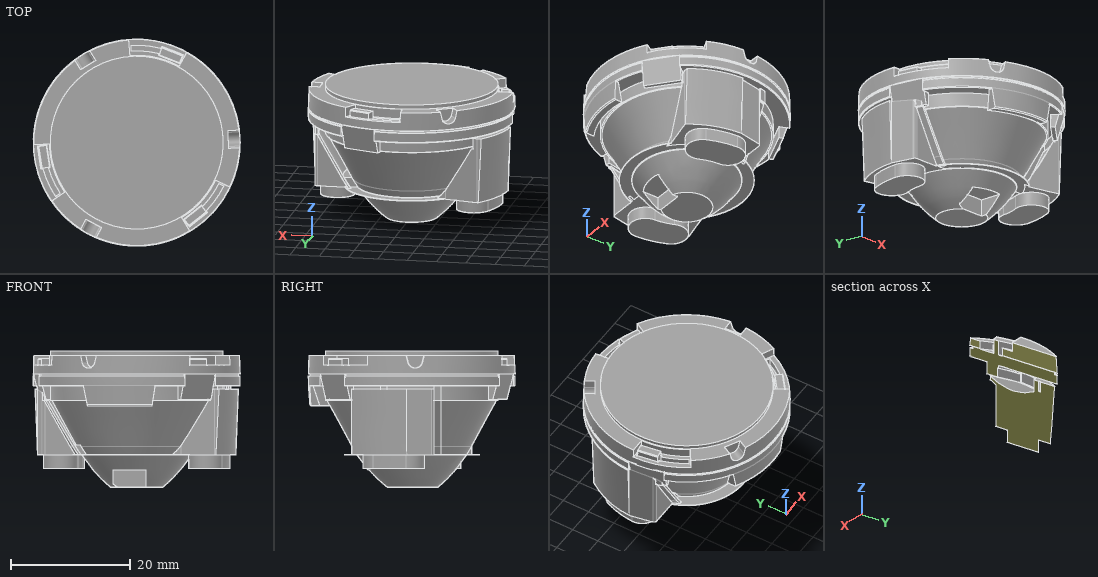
import cadquery as cq
import math

outer_radius = 17.35
total_height = 22.85

disc_top = total_height
cap_top = 22.1
window_floor = 20.48
notch_shoulder = 20.83
notch_floor = 20.0
cap_bottom = 19.0
flange_top = 18.65
flange_bottom = 16.95
leg_top = 16.45
cone_top = 14.58
gap_floor = 7.1
leg_bottom = 5.4
foot_bottom = 3.12

disc_radius = 29.0 / 2
cap_top_radius = 17.25
window_angles = (181.0, 214.5)
window_inner_radius = 14.65
slot_inner_radius = 15.38
slot_outer_radius = 16.3
slot_end_margin = 1.0
notch_angle = 2.0
notch_inner_radius = 15.35
notch_top_half_width = 1.5
notch_shoulder_half_width = 1.18
clip_count = 3

spigot_radius = 17.08
neck_radius = disc_radius
cone_top_radius = 14.23
cone_knee_radius = 10.03
cone_knee_height = 6.85
tip_radius = 4.37
flange_chamfer = 0.15
collar_radius = 11.3
collar_thickness = 0.1

tip_notch_left = -4.0
tip_notch_right = 1.55
tip_notch_back = -3.05
tip_notch_height = 2.88

tab_top = flange_bottom + flange_chamfer
tab_bottom = 13.65
tab_bottom_radius = 17.1
tab_bottom_chamfer = 0.2
tab_bottom_inner_radius = 15.62
tab_top_inner_radius = 16.85
tab_top_ends = (-8.95, 3.1)
tab_bottom_ends = (-8.25, 2.57)

leg_count = 2
leg_top_radius = 17.08
leg_bottom_radius = 16.65
leg_neck_radius = 15.38
leg_long_side = 10.05
leg_inner_side = 8.68
leg_inner_corner = 7.4
leg_outer_corner = 13.05
leg_corner_fillet = 0.52
leg_short_side = -3.7
leg_rib_side = -4.85
leg_web_offset = 1.75
leg_flat_start = 0.9
leg_flat_corner = 15.8
gap_width = 1.32
rib_start = 4.15
rib_end = 5.2
foot_path_radius = 12.77
foot_half_width = 2.9
foot_angles = (155.5, 176.5)

hook_angle = 188.7
hook_flat_distance = 17.05
hook_block_half_width = 3.25
hook_block_inner = 15.1
hook_block_bottom_distance = 15.85
hook_bottom = 14.7
hook_top = 21.6
hook_half_width = 1.85
hook_inner_radius = 15.05
hook_outer_radius = 16.45
hook_lip_chamfer = 0.15
hook_clearance = 0.1

full_turn = 360.0
overshoot = 0.35
cutter_radius = outer_radius + overshoot


def polar(radius, angle):
    a = math.radians(angle)
    return (radius * math.cos(a), radius * math.sin(a))


def cylinder(radius, low, high):
    return cq.Workplane("XY").workplane(offset=low).circle(radius).extrude(high - low)


def annular_sector(inner, outer, angles, low, high):
    """Part of a ring between two angles in degrees."""
    start, end = angles
    middle = (start + end) / 2
    return (
        cq.Workplane("XY").workplane(offset=low)
        .moveTo(*polar(inner, start))
        .lineTo(*polar(outer, start))
        .threePointArc(polar(outer, middle), polar(outer, end))
        .lineTo(*polar(inner, end))
        .threePointArc(polar(inner, middle), polar(inner, start))
        .close()
        .extrude(high - low)
    )


def radial_block(inner, outer, half_width, low, high):
    """Straight block along +X."""
    return cq.Workplane("XY").box(
        outer - inner, 2 * half_width, high - low, centered=(False, True, False)
    ).translate((inner, 0, low))


def turned(shape, angle):
    return shape.rotate((0, 0, 0), (0, 0, 1), angle)


def lens_cone(offset):
    """Bowl-shaped lens flank, enlarged outwards by the offset."""
    return (
        cq.Workplane("XZ")
        .moveTo(0, 0)
        .lineTo(0, flange_bottom)
        .lineTo(neck_radius + offset, flange_bottom)
        .lineTo(neck_radius + offset, cone_top)
        .lineTo(cone_top_radius + offset, cone_top)
        .lineTo(cone_knee_radius + offset, cone_knee_height)
        .tangentArcPoint((tip_radius + offset, 0), relative=False)
        .close()
        .revolve(full_turn, (0, 0), (0, 1))
    )


def cap_blank():
    return (
        cq.Workplane("XZ")
        .moveTo(0, cap_bottom)
        .lineTo(outer_radius, cap_bottom)
        .lineTo(cap_top_radius, cap_top)
        .lineTo(disc_radius, cap_top)
        .lineTo(disc_radius, disc_top)
        .lineTo(0, disc_top)
        .close()
        .revolve(full_turn, (0, 0), (0, 1))
    )


def cap_window():
    """Open window, the slot in its floor, and the wider passage for the hook."""
    start, end = window_angles
    slot_angles = (start + slot_end_margin, end - slot_end_margin)
    window = annular_sector(window_inner_radius, cutter_radius, window_angles, window_floor, disc_top)
    slot = annular_sector(slot_inner_radius, slot_outer_radius, slot_angles, cap_bottom, disc_top)
    passage = radial_block(
        hook_inner_radius - hook_clearance,
        hook_outer_radius + hook_clearance,
        hook_half_width + hook_clearance,
        cap_bottom,
        window_floor,
    )
    return window.union(slot).union(turned(passage, hook_angle))


def cap_notch():
    """Grip notch with a rounded floor, cut in from the rim."""
    return (
        cq.Workplane("YZ").workplane(offset=notch_inner_radius)
        .moveTo(-notch_top_half_width, cap_top)
        .lineTo(-notch_shoulder_half_width, notch_shoulder)
        .threePointArc((0, notch_floor), (notch_shoulder_half_width, notch_shoulder))
        .lineTo(notch_top_half_width, cap_top)
        .close()
        .extrude(outer_radius - notch_inner_radius + overshoot)
    )


def make_cap():
    body = cap_blank()
    for i in range(clip_count):
        step = i * full_turn / clip_count
        body = body.cut(turned(cap_window(), step))
        body = body.cut(turned(cap_notch(), notch_angle + step))
    return body


def make_flange():
    flange = cylinder(outer_radius, flange_bottom, flange_top).faces("<Z").edges().chamfer(flange_chamfer)
    return flange.union(cylinder(spigot_radius, flange_top, cap_bottom))


def tip_notch():
    """Notch in the -Y flank of the lens tip."""
    depth = outer_radius + tip_notch_back
    return cq.Workplane("XY").box(
        tip_notch_right - tip_notch_left, depth, tip_notch_height, centered=False
    ).translate((tip_notch_left, tip_notch_back - depth, 0))


def make_tab():
    """Tapered skirt that hangs below the flange on the -Y side."""
    outline = (
        cq.Workplane("XZ")
        .moveTo(tab_top_ends[0], tab_top)
        .lineTo(tab_bottom_ends[0], tab_bottom)
        .lineTo(tab_bottom_ends[1], tab_bottom)
        .lineTo(tab_top_ends[1], tab_top)
        .close()
        .extrude(outer_radius)
    )
    envelope = (
        cq.Workplane("XZ")
        .moveTo(tab_bottom_inner_radius, tab_bottom)
        .lineTo(tab_bottom_radius - tab_bottom_chamfer, tab_bottom)
        .lineTo(tab_bottom_radius, tab_bottom + tab_bottom_chamfer)
        .lineTo(outer_radius, tab_top)
        .lineTo(tab_top_inner_radius, tab_top)
        .close()
        .revolve(full_turn, (0, 0), (0, 1))
    )
    return outline.intersect(envelope)


def leg_outline(low, high):
    """Plan of the leg on the -X side, open towards the lens axis."""
    return (
        cq.Workplane("XY").workplane(offset=low)
        .moveTo(0, leg_inner_side)
        .lineTo(-leg_inner_corner, leg_inner_side)
        .lineTo(-leg_outer_corner, leg_long_side)
        .lineTo(-outer_radius, leg_long_side)
        .lineTo(-outer_radius, leg_flat_start)
        .lineTo(-leg_bottom_radius, leg_flat_start)
        .lineTo(-leg_flat_corner, leg_short_side)
        .lineTo(0, leg_short_side)
        .close()
        .extrude(high - low)
        .edges(cq.NearestToPointSelector((-leg_flat_corner, leg_short_side, (low + high) / 2)))
        .fillet(leg_corner_fillet)
    )


def leg_envelope():
    """Drafted round outside of the legs, with a neck below the flange."""
    return (
        cq.Workplane("XZ")
        .moveTo(0, leg_bottom)
        .lineTo(leg_bottom_radius, leg_bottom)
        .lineTo(leg_top_radius, leg_top)
        .lineTo(leg_neck_radius, leg_top)
        .lineTo(leg_neck_radius, flange_bottom)
        .lineTo(0, flange_bottom)
        .close()
        .revolve(full_turn, (0, 0), (0, 1))
    )


def leg_strip(side, other_side, low, high):
    """Block on the -X side between two Y values."""
    return cq.Workplane("XY").box(
        outer_radius, other_side - side, high - low, centered=False
    ).translate((-outer_radius, side, low))


def make_leg():
    """Leg on the -X side: solid outer part, conical web, and a gap to the lens with a floor and a rib."""
    leg = leg_outline(leg_bottom, flange_bottom).intersect(leg_envelope())
    web = leg_strip(leg_rib_side, leg_short_side, leg_bottom, flange_bottom)
    leg = leg.union(web.intersect(lens_cone(leg_web_offset)))
    floor = leg_strip(leg_short_side, rib_end, leg_bottom, gap_floor)
    rib = leg_strip(rib_start, rib_end, leg_bottom, flange_bottom)
    return leg.cut(lens_cone(gap_width).cut(floor).cut(rib))


def leg_riser():
    """Continues the flat of the -X leg upwards to the hook block above it."""
    strip = leg_strip(leg_short_side, leg_flat_start, leg_top, cap_bottom)
    riser = leg_outline(leg_top, cap_bottom).intersect(strip)
    return riser.cut(cylinder(hook_block_inner, leg_top, cap_bottom))


def make_foot():
    """Arc-shaped pad with round ends under a leg."""
    foot = annular_sector(
        foot_path_radius - foot_half_width,
        foot_path_radius + foot_half_width,
        foot_angles,
        foot_bottom,
        leg_bottom,
    )
    for angle in foot_angles:
        x, y = polar(foot_path_radius, angle)
        foot = foot.union(cylinder(foot_half_width, foot_bottom, leg_bottom).translate((x, y, 0)))
    return foot


def make_hook():
    """Flat-faced block beside the flange, carrying a hook that rises through the cap."""
    block = (
        cq.Workplane("XZ").workplane(offset=-hook_block_half_width)
        .moveTo(hook_block_inner, hook_bottom)
        .lineTo(hook_block_bottom_distance, hook_bottom)
        .lineTo(hook_flat_distance, cap_bottom)
        .lineTo(hook_block_inner, cap_bottom)
        .close()
        .extrude(2 * hook_block_half_width)
    )
    hook = radial_block(hook_inner_radius, hook_outer_radius, hook_half_width, flange_top, hook_top)
    hook = hook.faces(">X").edges(">Z").chamfer(hook_lip_chamfer)
    return block.union(hook)


def hook_clearance_block():
    """Part of the flange cleared away before a hook block is set in."""
    return radial_block(hook_block_inner, cutter_radius, hook_block_half_width, flange_bottom, cap_bottom)


def make_lens_body():
    body = make_flange().union(lens_cone(0)).union(make_tab())
    body = body.union(cylinder(collar_radius, leg_bottom, leg_bottom + collar_thickness))
    for i in range(leg_count):
        step = i * full_turn / leg_count
        body = body.union(turned(make_leg(), step)).union(turned(make_foot(), step))
    for i in range(clip_count):
        angle = hook_angle + i * full_turn / clip_count
        body = body.cut(turned(hook_clearance_block(), angle)).union(turned(make_hook(), angle))
    return body.union(leg_riser()).cut(tip_notch())


cap = make_cap()
lens_body = make_lens_body()

result = cq.Compound.makeCompound([cap.solids().val(), lens_body.solids().val()])